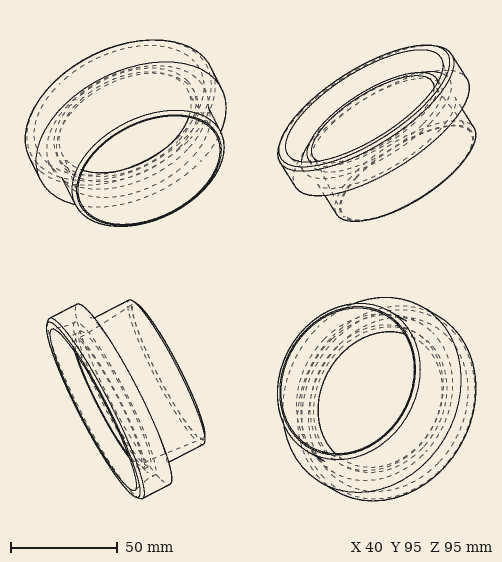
import cadquery as cq
import math

total_length = 40.0

flange_diameter = 95.0
flange_length = 16.15
flange_chamfer = 1.4

neck_diameter = 76.1
neck_start = 20.9
neck_chamfer_length = 1.1
neck_chamfer_height = 1.9

back_taper_angle = math.radians(10)

recess_diameter = 84.9
recess_cone_depth = 8.0
recess_floor_diameter = 80.8
recess_floor_depth = 11.4

lip_diameter = 71.0
lip_end_depth = 8.0

bore_diameter = 66.0
bore_straight_end = 13.3
bore_exit_diameter = 71.0

flange_radius = flange_diameter / 2
neck_radius = neck_diameter / 2

corner_x = flange_length + (flange_radius - neck_radius) * math.tan(back_taper_angle)
tangent_length = neck_start - corner_x
fillet_start_x = corner_x - tangent_length * math.sin(back_taper_angle)
fillet_start_radius = neck_radius + tangent_length * math.cos(back_taper_angle)

section = (
    cq.Workplane("XY")
    .moveTo(0, recess_diameter / 2)
    .lineTo(0, flange_radius - flange_chamfer)
    .lineTo(flange_chamfer, flange_radius)
    .lineTo(flange_length, flange_radius)
    .lineTo(fillet_start_x, fillet_start_radius)
    .tangentArcPoint((neck_start, neck_radius), relative=False)
    .lineTo(total_length - neck_chamfer_length, neck_radius)
    .lineTo(total_length, neck_radius - neck_chamfer_height)
    .lineTo(total_length, bore_exit_diameter / 2)
    .lineTo(bore_straight_end, bore_diameter / 2)
    .lineTo(lip_end_depth, bore_diameter / 2)
    .lineTo(lip_end_depth, lip_diameter / 2)
    .lineTo(recess_floor_depth, lip_diameter / 2)
    .lineTo(recess_floor_depth, recess_floor_diameter / 2)
    .lineTo(recess_cone_depth, recess_floor_diameter / 2)
    .close()
)

result = section.revolve(360, (0, 0, 0), (1, 0, 0))